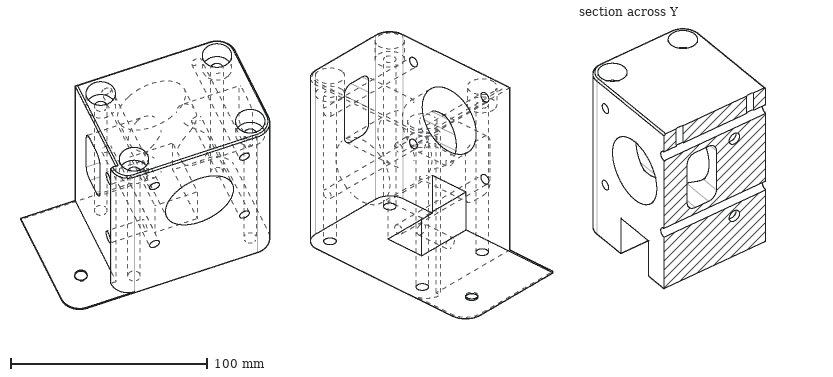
import cadquery as cq

width = 65.0
depth = 87.0
height = 100.0
corner_radius = 10.0
top_chamfer = 1.0

front_recess = 3.0
rib_left = 55.5
rib_radius = 9.2
front_face_y = front_recess - depth

screw_diameter = 6.4
screw_line_x = 45.0

flange_length = 27.0
flange_thickness = 1.0
flange_hole_offset = 12.1

bolt_inset = 10.0
bolt_pitch_x = width - 2 * bolt_inset
bolt_pitch_y = 64.0
counterbore_diameter = 15.0
counterbore_depth = 11.0

bore_diameter = 37.5
bore_y = front_face_y / 2
bore_z = 61.0
motor_hole_diameter = 5.4
motor_hole_pitch = 49.5

slot_left = 15.0
slot_width = 18.4
slot_height = 35.3
slot_radius = 5.0
slot_x = slot_left + slot_width / 2

front_hole_z = 51.0
front_hole_pitch = 50.0
front_hole_depth = 20.0

notch_width = 23.4
notch_height = 22.9
notch_depth = slot_left + slot_width


def corner_box(left, front, size_x, size_y, size_z):
    """Box standing on Z = 0 with its left front corner at (left, front)."""
    return cq.Workplane("XY").box(size_x, size_y, size_z, centered=False).translate((left, front, 0))


def make_block():
    block = corner_box(0, -depth, width, depth, height)
    block = block.edges("|Z and >Y").fillet(corner_radius)
    block = block.edges("|Z and >X and <Y").fillet(rib_radius)
    block = block.faces(">Z").edges().chamfer(top_chamfer)
    recess = corner_box(0, -depth, rib_left, front_recess, height)
    return block.cut(recess).cut(make_front_bevel())


def make_front_bevel():
    """Triangular bar that bevels the top of the front face and stops at the rib."""
    return (
        cq.Workplane("YZ")
        .moveTo(front_face_y, height)
        .lineTo(front_face_y + top_chamfer, height)
        .lineTo(front_face_y, height - top_chamfer)
        .close()
        .extrude(rib_left)
    )


def make_flange():
    flange = corner_box(0, -depth - flange_length, width, flange_length + corner_radius, flange_thickness)
    flange = flange.edges("|Z and >X and <Y").fillet(corner_radius)
    hole = (
        cq.Workplane("XY")
        .center(screw_line_x, -depth - flange_hole_offset)
        .circle(screw_diameter / 2)
        .extrude(flange_thickness)
    )
    return flange.cut(hole)


def make_bolt_holes():
    bolt_y = -bolt_inset - bolt_pitch_y / 2
    centers = cq.Workplane("XY").center(width / 2, bolt_y).rarray(bolt_pitch_x, bolt_pitch_y, 2, 2)
    shafts = centers.circle(screw_diameter / 2).extrude(height)
    seats = centers.circle(counterbore_diameter / 2).extrude(counterbore_depth)
    return shafts.union(seats.translate((0, 0, height - counterbore_depth)))


def make_motor_holes():
    axis = cq.Workplane("YZ").center(bore_y, bore_z)
    bore = axis.circle(bore_diameter / 2).extrude(width)
    holes = (
        axis.rarray(motor_hole_pitch, motor_hole_pitch, 2, 2)
        .circle(motor_hole_diameter / 2)
        .extrude(width)
    )
    return bore.union(holes)


def make_access_slot():
    slot = cq.Workplane("XY").box(slot_width, depth, slot_height).edges("|Y").fillet(slot_radius)
    return slot.translate((slot_x, -depth / 2, bore_z))


def make_front_holes():
    return (
        cq.Workplane("XZ", origin=(screw_line_x, front_face_y, front_hole_z))
        .rarray(1, front_hole_pitch, 1, 2)
        .circle(screw_diameter / 2)
        .extrude(-front_hole_depth)
    )


def make_notch():
    return corner_box(0, bore_y - notch_width / 2, notch_depth, notch_width, notch_height)


result = (
    make_block()
    .union(make_flange())
    .cut(make_bolt_holes())
    .cut(make_motor_holes())
    .cut(make_access_slot())
    .cut(make_front_holes())
    .cut(make_notch())
)